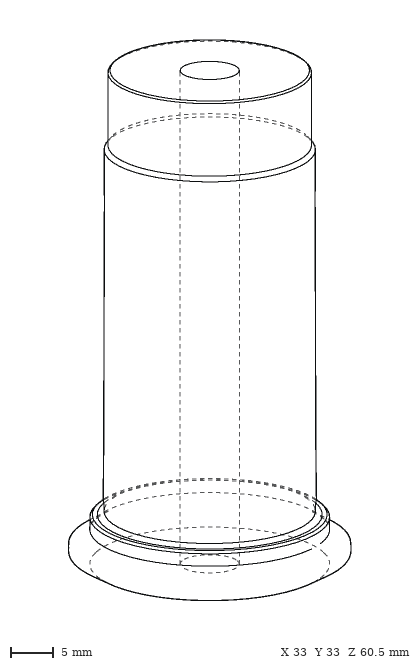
import cadquery as cq
import math

HEIGHT = 60.5
BORE_DIAMETER = 6.9

SPIGOT_RADIUS = 23.8 / 2
SPIGOT_CHAMFER = 0.25
SPIGOT_BOTTOM = 51.35

BODY_TOP_RADIUS = 24.7 / 2
BODY_BOTTOM_RADIUS = 12.45
BODY_TOP = 50.8
BODY_BOTTOM = 8.05

GROOVE_RADIUS = 12.35
GROOVE_TOP = 7.45
LIP_RADIUS = 12.4
LIP_BOTTOM = 7.7
GROOVE_FOOT_HEIGHT = 0.4
GROOVE_FOOT_RADIUS = 13.1

COLLAR_RADIUS = 28.0 / 2
COLLAR_TOP = 6.05
COLLAR_CHAMFER = 0.3

RIM_RADIUS = 33.0 / 2
RIM_HEIGHT = 4.05
RIM_CONE_ANGLE = 30.0
RIM_FILLET = 0.3

SELECTION_MARGIN = 0.005


def rim_cone_height():
    """Height of each rim cone, from the collar radius out to the rim radius."""
    return (RIM_RADIUS - COLLAR_RADIUS) * math.tan(math.radians(RIM_CONE_ANGLE))


def make_sleeve():
    """Revolve the outer half-profile of the sleeve about Z."""
    cone_height = rim_cone_height()
    profile = (
        cq.Workplane("XZ")
        .moveTo(0, 0)
        .lineTo(COLLAR_RADIUS, 0)
        .lineTo(RIM_RADIUS, cone_height)
        .lineTo(RIM_RADIUS, RIM_HEIGHT - cone_height)
        .lineTo(COLLAR_RADIUS, RIM_HEIGHT)
        .lineTo(COLLAR_RADIUS, COLLAR_TOP - COLLAR_CHAMFER)
        .lineTo(COLLAR_RADIUS - COLLAR_CHAMFER, COLLAR_TOP)
        .lineTo(GROOVE_FOOT_RADIUS, COLLAR_TOP)
        .lineTo(GROOVE_RADIUS, COLLAR_TOP + GROOVE_FOOT_HEIGHT)
        .lineTo(GROOVE_RADIUS, GROOVE_TOP)
        .lineTo(LIP_RADIUS, LIP_BOTTOM)
        .lineTo(BODY_BOTTOM_RADIUS, BODY_BOTTOM)
        .lineTo(BODY_TOP_RADIUS, BODY_TOP)
        .lineTo(SPIGOT_RADIUS, SPIGOT_BOTTOM)
        .lineTo(SPIGOT_RADIUS, HEIGHT - SPIGOT_CHAMFER)
        .lineTo(SPIGOT_RADIUS - SPIGOT_CHAMFER, HEIGHT)
        .lineTo(0, HEIGHT)
        .close()
    )
    return profile.revolve(360, (0, 0, 0), (0, 1, 0))


def round_rim(sleeve):
    """Round both edges of the rim band and the corner where its cone meets the collar."""
    cone_height = rim_cone_height()
    for height in (cone_height, RIM_HEIGHT - cone_height, RIM_HEIGHT):
        zone = cq.selectors.BoxSelector(
            (-RIM_RADIUS - SELECTION_MARGIN, -RIM_RADIUS - SELECTION_MARGIN, height - SELECTION_MARGIN),
            (RIM_RADIUS + SELECTION_MARGIN, RIM_RADIUS + SELECTION_MARGIN, height + SELECTION_MARGIN),
            boundingbox=True,
        )
        sleeve = sleeve.edges(zone).fillet(RIM_FILLET)
    return sleeve


def drill_bore(sleeve):
    """Cut the central bore through the full height."""
    return sleeve.cut(cq.Workplane("XY").circle(BORE_DIAMETER / 2).extrude(HEIGHT))


result = drill_bore(round_rim(make_sleeve()))